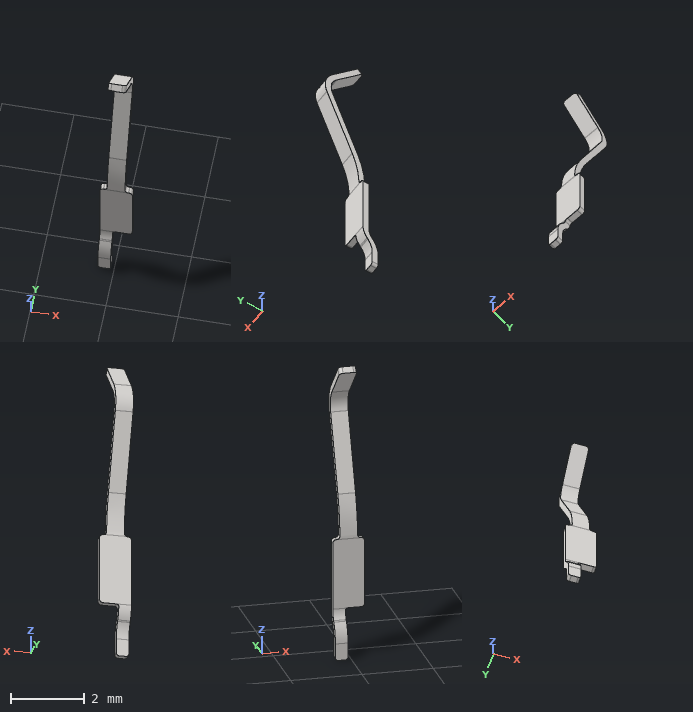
import cadquery as cq
import math

height = 8.35
thickness = 0.2
half = thickness / 2

plate_width = 0.9
arm_width = 0.5
tab_width = 0.36
corner_radius = 0.1
arm_root_radius = 0.09
tab_root_radius = 0.075
tab_end_radius = 0.08

tab_length = 0.49
tab_offset = 0.3
jog_height = 0.9
jog_straight = 0.04
jog_angle = 2 * math.degrees(math.atan(tab_offset / (jog_height + jog_straight)))
jog_lower_radius = 0.885
jog_arc_height = jog_height - jog_straight * math.cos(math.radians(jog_angle))
jog_upper_radius = jog_arc_height / math.sin(math.radians(jog_angle)) - jog_lower_radius
plate_height = 2.01
arm_bend_radius = 3.24
arm_angle = 21.6
arm_length = 2.25
tip_bend_radius = 0.68
tip_angle = 46.0

plate_bottom = tab_length + jog_height
plate_top = plate_bottom + plate_height


def offset_point(point, lean, distance):
    """Move a (Y, Z) point sideways from a strip leaning towards +Y by lean degrees."""
    angle = math.radians(lean)
    return (point[0] + distance * math.cos(angle), point[1] - distance * math.sin(angle))


def go_straight(point, lean, length):
    angle = math.radians(lean)
    return (point[0] + length * math.sin(angle), point[1] + length * math.cos(angle))


def go_round(point, lean, radius, turn):
    """Follow an arc; a positive turn leans further towards +Y."""
    to_centre = math.copysign(radius, turn)
    centre = offset_point(point, lean, to_centre)
    return offset_point(centre, lean + turn, -to_centre)


def bent_strip():
    """Side profile of the strip in YZ, extruded over the full plate width."""
    bends = [
        (tab_length, jog_lower_radius, jog_angle),
        (jog_straight, jog_upper_radius, -jog_angle),
        (plate_height, arm_bend_radius, arm_angle),
        (arm_length, tip_bend_radius, -arm_angle - tip_angle),
    ]
    point = (half - tab_offset, 0)
    lean = 0
    stations = []
    for length, radius, turn in bends:
        start = go_straight(point, lean, length)
        middle = go_round(start, lean, radius, turn / 2)
        point = go_round(start, lean, radius, turn)
        stations.append(((start, lean), (middle, lean + turn / 2), (point, lean + turn)))
        lean += turn

    tip_rise = height - half * math.sin(math.radians(tip_angle)) - point[1]
    tip = go_straight(point, lean, tip_rise / math.cos(math.radians(tip_angle)))

    profile = cq.Workplane("YZ").moveTo(-tab_offset, 0)
    for bend in stations:
        start, middle, end = [offset_point(*station, -half) for station in bend]
        profile = profile.lineTo(*start).threePointArc(middle, end)
    profile = profile.lineTo(*offset_point(tip, lean, -half))
    profile = profile.lineTo(*offset_point(tip, lean, half))
    for bend in reversed(stations):
        start, middle, end = [offset_point(*station, half) for station in bend]
        profile = profile.lineTo(*end).threePointArc(middle, start)
    profile = profile.lineTo(thickness - tab_offset, 0).close()
    return profile.extrude(plate_width / 2, both=True)


def round_corners(body, x, z, radius):
    """Round the outline corner running along Y at the given X and Z."""
    reach = height
    margin = radius / 10
    corner = cq.selectors.BoxSelector(
        (x - margin, -reach, z - margin), (x + margin, reach, z + margin)
    )
    return body.edges("|Y").edges(corner).fillet(radius)


def front_outline():
    """Width outline in XZ, deep enough in Y to cover the whole strip."""
    side = plate_width / 2
    arm_side = arm_width / 2
    tab_side = tab_width - side
    outline_top = height + thickness
    points = [
        (-side, 0),
        (tab_side, 0),
        (tab_side, plate_bottom),
        (side, plate_bottom),
        (side, plate_top),
        (arm_side, plate_top),
        (arm_side, outline_top),
        (-arm_side, outline_top),
        (-arm_side, plate_top),
        (-side, plate_top),
    ]
    outline = cq.Workplane("XZ").polyline(points).close().extrude(height / 2, both=True)
    for x in (-side, tab_side):
        outline = round_corners(outline, x, 0, tab_end_radius)
    for x, z in [(side, plate_bottom), (-side, plate_top), (side, plate_top)]:
        outline = round_corners(outline, x, z, corner_radius)
    for x in (-arm_side, arm_side):
        outline = round_corners(outline, x, plate_top, arm_root_radius)
    return round_corners(outline, tab_side, plate_bottom, tab_root_radius)


def round_tip(body):
    """Round the two tip corners, whose edges run through the strip thickness."""
    tip_zone = cq.selectors.BoxSelector(
        (-plate_width, -height, height - thickness), (plate_width, height, height)
    )
    return body.edges(tip_zone).edges("#X").fillet(corner_radius)


result = round_tip(bent_strip().intersect(front_outline()))